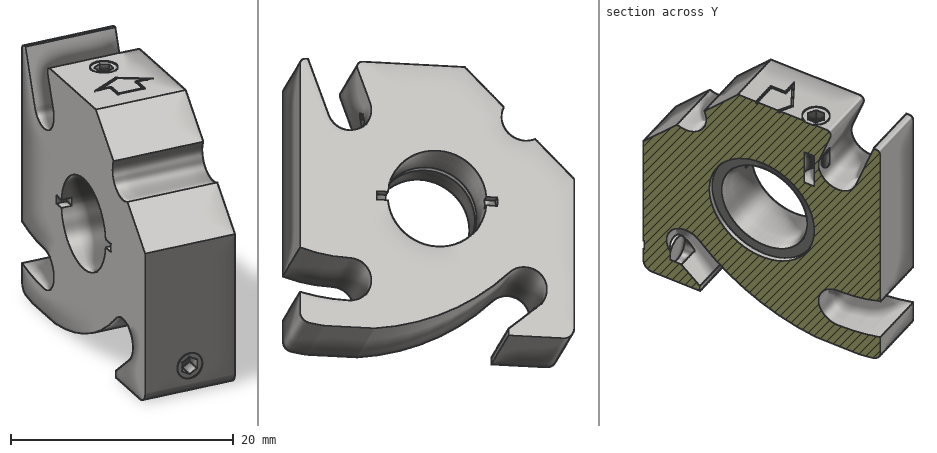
import cadquery as cq
import math

side = 25.0
thickness = 9.0
half_side = side / 2
half_thickness = thickness / 2
corner_cut = 10.0

rod_offset = 8.0
rod_radius = 2.0
clearance_notch_radius = 2.12
pivot = (-rod_offset, rod_offset)

pivot_slot_tilt = 20.0
hook_wall_slope = 40.0
hook_tip_x = 6.5
rod_spacing = 2 * rod_offset
slot_top_radius = rod_spacing - rod_radius
slot_bottom_radius = rod_spacing + rod_radius
swing_radius = math.sqrt(2) * rod_spacing - rod_radius

top_corner_radius = 0.5
bottom_corner_radius = 1.0

bore_diameter = 9.0
groove_diameter = 11.0
groove_front_depth = 5.2
groove_back_depth = 6.08
spanner_slot_width = 0.8
spanner_slot_depth = 1.05

screw_diameter = 2.5
screw_recess = 0.1
hex_across_flats = 1.5
hex_depth = 1.5
top_screw_x = -5.0
top_screw_tip_z = 8.75
top_screw_hole_end_z = 5.25
side_screw_z = -9.7
side_screw_tip_x = 9.6
side_screw_hole_end_x = 8.45

arrow_tip_x = -2.58
arrow_head_back_x = -0.92
arrow_tail_x = 0.6
arrow_head_half_width = 2.92
arrow_tail_half_width = 1.38
arrow_line_width = 0.18
arrow_depth = 0.2


def polar(center, radius, degrees):
    """Point on a circle in the XZ plane, angle measured from +X towards +Z."""
    angle = math.radians(degrees)
    return (center[0] + radius * math.cos(angle), center[1] + radius * math.sin(angle))


def point_at_x(x, radius):
    """Point at the given X on the lower side of a circle around the pivot."""
    return (x, pivot[1] - math.sqrt(radius**2 - (x - pivot[0]) ** 2))


def midpoint_on_circle(start, end, radius):
    """Point halfway between two points of a circle around the pivot."""
    start_angle = math.atan2(start[1] - pivot[1], start[0] - pivot[0])
    end_angle = math.atan2(end[1] - pivot[1], end[0] - pivot[0])
    return polar(pivot, radius, math.degrees((start_angle + end_angle) / 2))


def slot_mouth(wall_foot):
    """Point where a tilted slot wall reaches the top face."""
    run = (half_side - wall_foot[1]) * math.tan(math.radians(pivot_slot_tilt))
    return (wall_foot[0] - run, half_side)


slot_left = polar(pivot, rod_radius, 180 + pivot_slot_tilt)
slot_right = polar(pivot, rod_radius, pivot_slot_tilt)
swing_left = point_at_x(-half_side, swing_radius)


def plate_outline():
    """Closed plate profile, clockwise from the upper left corner."""
    lower_left_rod = (-rod_offset, -rod_offset)
    lower_right_rod = (rod_offset, -rod_offset)

    slot_bottom = polar(pivot, rod_radius, 270 + pivot_slot_tilt)

    cut_end = half_side - corner_cut
    cut_middle = (half_side + cut_end) / 2
    notch_offset = math.sqrt(2) * (rod_offset - cut_middle)
    notch_half_chord = math.sqrt(clearance_notch_radius**2 - notch_offset**2)
    notch_step = notch_half_chord / math.sqrt(2)
    notch_start = (cut_middle - notch_step, cut_middle + notch_step)
    notch_bottom = polar((rod_offset, rod_offset), clearance_notch_radius, 225)
    notch_end = (cut_middle + notch_step, cut_middle - notch_step)

    hook_wall = polar(lower_right_rod, rod_radius, hook_wall_slope - 90)
    hook_top = polar(lower_right_rod, rod_radius, 45)
    hook_inner = polar(lower_right_rod, rod_radius, 135)
    hook_rise = (hook_wall[0] - hook_tip_x) * math.tan(math.radians(hook_wall_slope))
    hook_tip = (hook_tip_x, hook_wall[1] - hook_rise)

    chord = math.sqrt(swing_radius**2 - (half_side + pivot[1]) ** 2)
    chord_right = (pivot[0] + chord, -half_side)
    chord_left = (pivot[0] - chord, -half_side)

    slot_bottom_left = point_at_x(-half_side, slot_bottom_radius)
    slot_bottom_end = (pivot[0], pivot[1] - slot_bottom_radius)
    slot_end = polar(lower_left_rod, rod_radius, 0)
    slot_top_end = (pivot[0], pivot[1] - slot_top_radius)
    slot_top_left = point_at_x(-half_side, slot_top_radius)

    return (
        cq.Workplane("XZ")
        .moveTo(-half_side, half_side)
        .lineTo(*slot_mouth(slot_left))
        .lineTo(*slot_left)
        .threePointArc(slot_bottom, slot_right)
        .lineTo(*slot_mouth(slot_right))
        .lineTo(cut_end, half_side)
        .lineTo(*notch_start)
        .threePointArc(notch_bottom, notch_end)
        .lineTo(half_side, cut_end)
        .lineTo(half_side, -half_side)
        .lineTo(hook_tip_x, -half_side)
        .lineTo(*hook_tip)
        .lineTo(*hook_wall)
        .threePointArc(hook_top, hook_inner)
        .threePointArc(midpoint_on_circle(hook_inner, chord_right, swing_radius), chord_right)
        .lineTo(*chord_left)
        .threePointArc(midpoint_on_circle(chord_left, swing_left, swing_radius), swing_left)
        .lineTo(*slot_bottom_left)
        .threePointArc(
            midpoint_on_circle(slot_bottom_left, slot_bottom_end, slot_bottom_radius), slot_bottom_end
        )
        .threePointArc(slot_end, slot_top_end)
        .threePointArc(midpoint_on_circle(slot_top_end, slot_top_left, slot_top_radius), slot_top_left)
        .close()
    )


def round_corner(body, corner, radius):
    """Fillet the edge along Y nearest to an XZ corner."""
    nearest = cq.selectors.NearestToPointSelector((corner[0], 0, corner[1]))
    return body.edges("|Y").edges(nearest).fillet(radius)


def make_plate():
    body = plate_outline().extrude(half_thickness, both=True)
    body = round_corner(body, (-half_side, half_side), top_corner_radius)
    body = round_corner(body, slot_mouth(slot_right), top_corner_radius)
    body = round_corner(body, (half_side, -half_side), bottom_corner_radius)
    return round_corner(body, swing_left, bottom_corner_radius)


def bore_disc(diameter, front_depth, back_depth):
    """Cylinder on the bore axis between two depths below the front face."""
    front = cq.Workplane("XZ", origin=(0, front_depth - half_thickness, 0))
    return front.circle(diameter / 2).extrude(front_depth - back_depth)


def cut_bore(body):
    spanner_slot = bore_disc(groove_diameter, 0, spanner_slot_depth).intersect(
        cq.Workplane("XY").box(side, thickness, spanner_slot_width)
    )
    body = body.cut(bore_disc(bore_diameter, 0, thickness))
    body = body.cut(bore_disc(groove_diameter, groove_front_depth, groove_back_depth))
    return body.cut(spanner_slot)


def add_set_screw(body, face_plane, hole_depth, tip_depth):
    """Cut a blind hole inward from a face and fill it with a hex socket set screw."""
    hole = cq.Workplane(face_plane).circle(screw_diameter / 2).extrude(-hole_depth)
    head = cq.Workplane(face_plane).workplane(offset=-screw_recess)
    screw = head.circle(screw_diameter / 2).extrude(screw_recess - tip_depth)
    hex_across_corners = hex_across_flats / math.cos(math.radians(30))
    socket = head.polygon(6, hex_across_corners).extrude(-hex_depth)
    return body.cut(hole).union(screw.cut(socket))


def engrave_arrow(body):
    points = [
        (arrow_tip_x, 0),
        (arrow_head_back_x, arrow_head_half_width),
        (arrow_head_back_x, arrow_tail_half_width),
        (arrow_tail_x, arrow_tail_half_width),
        (arrow_tail_x, -arrow_tail_half_width),
        (arrow_head_back_x, -arrow_tail_half_width),
        (arrow_head_back_x, -arrow_head_half_width),
    ]
    top_face = cq.Workplane("XY", origin=(0, 0, half_side))
    outer = top_face.polyline(points).close().extrude(-arrow_depth)
    inner_outline = top_face.polyline(points).close().offset2D(-arrow_line_width, "intersection")
    inner = inner_outline.extrude(-arrow_depth)
    return body.cut(outer.cut(inner))


top_screw_plane = cq.Plane(origin=(top_screw_x, 0, half_side), xDir=(1, 0, 0), normal=(0, 0, 1))
side_screw_plane = cq.Plane(origin=(half_side, 0, side_screw_z), xDir=(0, 0, 1), normal=(1, 0, 0))

plate = cut_bore(make_plate())
plate = add_set_screw(plate, top_screw_plane, half_side - top_screw_hole_end_z, half_side - top_screw_tip_z)
plate = add_set_screw(
    plate, side_screw_plane, half_side - side_screw_hole_end_x, half_side - side_screw_tip_x
)
result = engrave_arrow(plate)